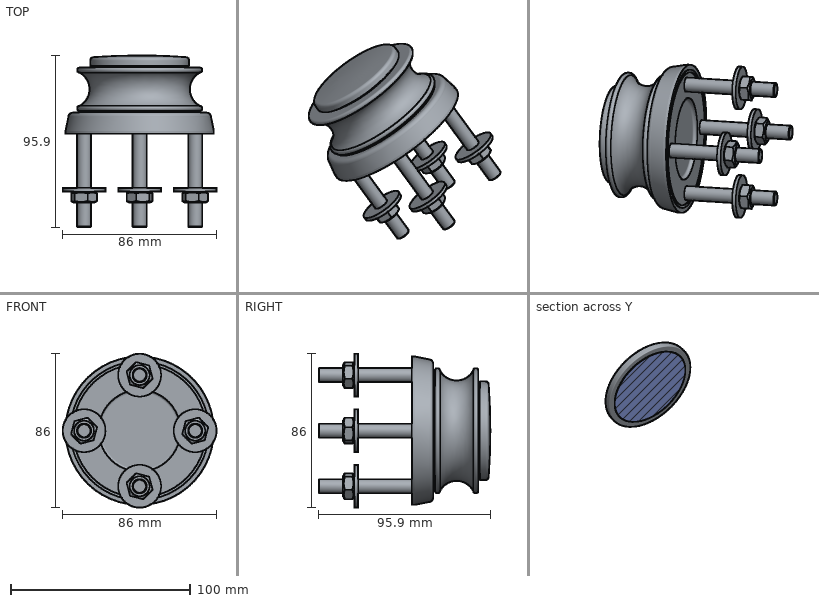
import cadquery as cq
import math


base_diameter = 83.0
base_radius = base_diameter / 2
base_rim_height = 1.7
base_shoulder_radius = 39.9
base_shoulder_height = 9.5
base_edge_width = 2.8
base_height = 12.0
base_step_radius = 33.9
base_step_height = 0.2

recess_radius = 22.8
recess_depth = 2.4
recess_floor_round = 1.4
groove_radius = 38.0
groove_section_radius = 0.8

shaft_diameter = 29.8
pulley_boss_radius = 24.9
pulley_upper_boss_height = 0.4
cap_boss_radius = 24.0
cap_boss_height = 0.2

pulley_bottom = 12.85
pulley_top = 37.1
pulley_radius = 35.0
rim_round = 1.4
throat_radius = 28.1

cap_radius = 27.6
cap_bottom = 38.0
cap_edge_round = 1.9
cap_lower_round = 0.5
cap_side_top = 41.05
cap_top = 43.9

stud_count = 4
stud_diameter = 8.0
stud_length = 52.0
stud_embedment = base_height / 2
stud_chamfer = 0.4
washer_diameter = 24.0
width_over_washers = 86.0
stud_circle_radius = (width_over_washers - washer_diameter) / 2
washer_seat = 30.0
washer_thickness = 2.1
nut_across_flats = 13.0
nut_height = 6.3
nut_face_diameter = 11.1
nut_chamfer_angle = 30
nut_turn = 15


def revolve_profile(profile):
    """Turn a closed profile, drawn as (radius, height), fully about the Y axis."""
    return profile.close().revolve(360, (0, 0, 0), (0, 1, 0))


def cylinder(diameter, start, length):
    """Make a cylinder running toward -Y from a given distance below the base."""
    return cq.Workplane("XZ", origin=(0, -start, 0)).circle(diameter / 2).extrude(length)


def make_base():
    top_radius = base_shoulder_radius - base_edge_width
    edge_height = base_height - base_shoulder_height
    round_middle = (
        top_radius + base_edge_width * math.sqrt(0.5),
        base_shoulder_height + edge_height * math.sqrt(0.5),
    )
    body = revolve_profile(
        cq.Workplane("XY")
        .lineTo(base_radius, 0)
        .lineTo(base_radius, base_rim_height)
        .lineTo(base_shoulder_radius, base_shoulder_height)
        .threePointArc(round_middle, (top_radius, base_height))
        .lineTo(base_step_radius, base_height)
        .lineTo(base_step_radius, base_height + base_step_height)
        .lineTo(0, base_height + base_step_height)
    )
    recess = cylinder(2 * recess_radius, -recess_depth, recess_depth)
    recess = recess.faces(">Y").edges().fillet(recess_floor_round)
    ring = cq.Solid.makeTorus(
        groove_radius, groove_section_radius, cq.Vector(0, 0, 0), cq.Vector(0, 1, 0)
    )
    return body.cut(recess).cut(cq.Workplane(ring))


def make_shaft():
    return cylinder(shaft_diameter, -cap_bottom, cap_bottom - base_height)


def make_pulley():
    flank_radius = pulley_radius - rim_round
    return revolve_profile(
        cq.Workplane("XY")
        .moveTo(0, base_height)
        .lineTo(pulley_boss_radius, base_height)
        .lineTo(pulley_boss_radius, pulley_bottom)
        .lineTo(flank_radius, pulley_bottom)
        .threePointArc(
            (pulley_radius, pulley_bottom + rim_round),
            (flank_radius, pulley_bottom + 2 * rim_round),
        )
        .threePointArc(
            (throat_radius, (pulley_bottom + pulley_top) / 2),
            (flank_radius, pulley_top - 2 * rim_round),
        )
        .threePointArc(
            (pulley_radius, pulley_top - rim_round),
            (flank_radius, pulley_top),
        )
        .lineTo(pulley_boss_radius, pulley_top)
        .lineTo(pulley_boss_radius, pulley_top + pulley_upper_boss_height)
        .lineTo(0, pulley_top + pulley_upper_boss_height)
    )


def make_cap():
    edge_top = cap_side_top + cap_edge_round
    dome_edge = cap_radius - cap_edge_round
    dome_rise = cap_top - edge_top
    dome_radius = (dome_edge**2 + dome_rise**2) / (2 * dome_rise)
    dome_middle = dome_edge / 2
    dome_middle_height = cap_top - dome_radius + math.sqrt(dome_radius**2 - dome_middle**2)
    return revolve_profile(
        cq.Workplane("XY")
        .moveTo(0, cap_bottom - cap_boss_height)
        .lineTo(cap_boss_radius, cap_bottom - cap_boss_height)
        .lineTo(cap_boss_radius, cap_bottom)
        .lineTo(cap_radius - cap_lower_round, cap_bottom)
        .radiusArc((cap_radius, cap_bottom + cap_lower_round), -cap_lower_round)
        .lineTo(cap_radius, cap_side_top)
        .radiusArc((dome_edge, edge_top), -cap_edge_round)
        .threePointArc((dome_middle, dome_middle_height), (0, cap_top))
    )


def make_nut(start):
    across_corners = nut_across_flats * 2 / math.sqrt(3)
    corner_radius = across_corners / 2
    face_radius = nut_face_diameter / 2
    chamfer_height = (corner_radius - face_radius) * math.tan(math.radians(nut_chamfer_angle))
    hexagon = (
        cq.Workplane("XZ", origin=(0, -start, 0))
        .polygon(6, across_corners)
        .extrude(nut_height)
        .rotate((0, 0, 0), (0, 1, 0), nut_turn)
    )
    end = start + nut_height
    envelope = revolve_profile(
        cq.Workplane("XY")
        .moveTo(0, -start)
        .lineTo(face_radius, -start)
        .lineTo(corner_radius, -start - chamfer_height)
        .lineTo(corner_radius, -end + chamfer_height)
        .lineTo(face_radius, -end)
        .lineTo(0, -end)
    )
    return hexagon.intersect(envelope)


def make_stud():
    """Make one stud with its washer and nut, placed on the upper (+Z) side."""
    stud = cylinder(stud_diameter, -stud_embedment, stud_length + stud_embedment)
    stud = stud.faces("<Y").chamfer(stud_chamfer)
    washer = cylinder(washer_diameter, washer_seat, washer_thickness)
    nut = make_nut(washer_seat + washer_thickness)
    return stud.union(washer).union(nut).translate((0, 0, stud_circle_radius))


result = make_base().union(make_shaft()).union(make_pulley()).union(make_cap())
upper_stud = make_stud()
for index in range(stud_count):
    result = result.union(upper_stud.rotate((0, 0, 0), (0, 1, 0), index * 360 / stud_count))